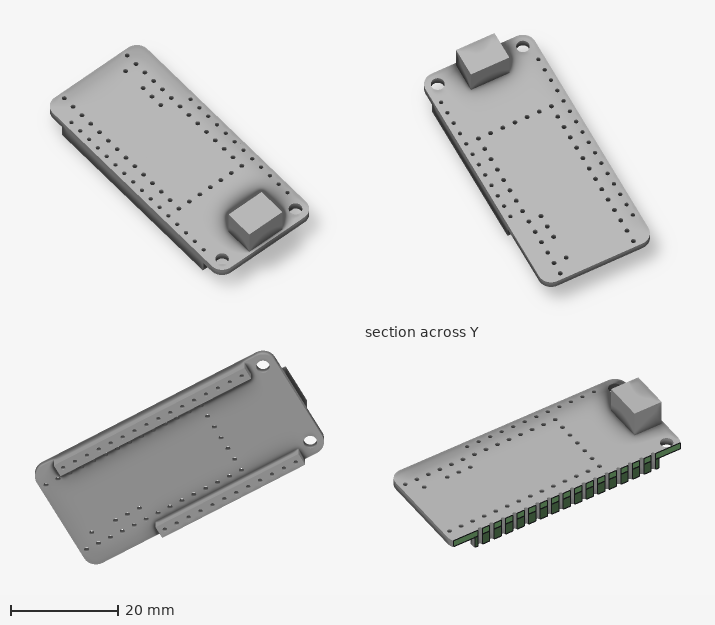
import cadquery as cq

PITCH = 2.55
BOARD_LENGTH = 20 * PITCH
BOARD_WIDTH = 9 * PITCH
BOARD_THICKNESS = 1.65
CORNER_RADIUS = PITCH

PIN_HOLE_DIAMETER = 0.9
HEADER_HOLE_DIAMETER = 0.8
REAR_MOUNT_DIAMETER = 2.55
FRONT_MOUNT_DIAMETER = 2.5

HEADER_WIDTH = PITCH
HEADER_HEIGHT = 2.5
REAR_PIN_COUNT = 12
FRONT_PIN_COUNT = 16

CONNECTOR_LENGTH = 6.0
CONNECTOR_WIDTH = 8.05
CONNECTOR_HEIGHT = 5.5
CONNECTOR_EDGE_GAP = 0.5

HEADER_Y = (BOARD_WIDTH - HEADER_WIDTH) / 2
HEADER_END_X = 8 * PITCH
LAST_HEADER_PIN_X = HEADER_END_X - PITCH / 2
MOUNT_X = BOARD_LENGTH / 2 - PITCH
MOUNT_Y = BOARD_WIDTH / 2 - PITCH

INNER_ROW_Y = 3 * PITCH
INNER_ROW_COUNT = 14
INNER_ROW_START_X = -(BOARD_LENGTH - PITCH) / 2
COLUMN_X = INNER_ROW_START_X + (INNER_ROW_COUNT - 1) * PITCH
COLUMN_COUNT = 5
SHORT_ROW_Y = 2 * PITCH
SHORT_ROW_STEPS = (1, 3, 4, 5)

HEADERS = (
    (REAR_PIN_COUNT, HEADER_Y),
    (FRONT_PIN_COUNT, -HEADER_Y),
)


def header_pin_points(pin_count, y):
    """Pin places of one header, counted back from its +X end."""
    return [(LAST_HEADER_PIN_X - i * PITCH, y) for i in range(pin_count)]


def inner_pin_points():
    """Two long rows, the cross column joining them and a short extra row."""
    points = []
    for y in (-INNER_ROW_Y, INNER_ROW_Y):
        points += [(INNER_ROW_START_X + i * PITCH, y) for i in range(INNER_ROW_COUNT)]
    for i in range(COLUMN_COUNT):
        points.append((COLUMN_X, SHORT_ROW_Y - i * PITCH))
    for step in SHORT_ROW_STEPS:
        points.append((INNER_ROW_START_X + step * PITCH, SHORT_ROW_Y))
    return points


def drill(body, points, diameter):
    """Drill through holes at the given places, measured from the board centre."""
    return (
        body.faces(">Z")
        .workplane(origin=(0, 0, 0))
        .pushPoints(points)
        .hole(diameter)
    )


def make_board():
    """Rounded circuit board with pin holes and two mounting holes."""
    board = (
        cq.Workplane("XY")
        .box(BOARD_LENGTH, BOARD_WIDTH, BOARD_THICKNESS, centered=(True, True, False))
        .edges("|Z")
        .fillet(CORNER_RADIUS)
    )
    board = drill(board, inner_pin_points(), PIN_HOLE_DIAMETER)
    for pin_count, y in HEADERS:
        board = drill(board, header_pin_points(pin_count, y), HEADER_HOLE_DIAMETER)
    board = drill(board, [(MOUNT_X, MOUNT_Y)], REAR_MOUNT_DIAMETER)
    return drill(board, [(MOUNT_X, -MOUNT_Y)], FRONT_MOUNT_DIAMETER)


def make_header(pin_count, y):
    """Socket strip under the board, with its holes in line with the board's."""
    length = pin_count * PITCH
    header = (
        cq.Workplane("XY")
        .box(length, HEADER_WIDTH, HEADER_HEIGHT)
        .translate((HEADER_END_X - length / 2, y, -HEADER_HEIGHT / 2))
    )
    return drill(header, header_pin_points(pin_count, y), HEADER_HOLE_DIAMETER)


def make_connector():
    """Plain connector block on top of the board near its +X end."""
    center_x = BOARD_LENGTH / 2 - CONNECTOR_EDGE_GAP - CONNECTOR_LENGTH / 2
    return (
        cq.Workplane("XY")
        .box(CONNECTOR_LENGTH, CONNECTOR_WIDTH, CONNECTOR_HEIGHT, centered=(True, True, False))
        .translate((center_x, 0, BOARD_THICKNESS))
    )


board = make_board()
headers = [make_header(pin_count, y) for pin_count, y in HEADERS]
connector = make_connector()

result = cq.Compound.makeCompound(
    [board.val(), *[header.val() for header in headers], connector.val()]
)